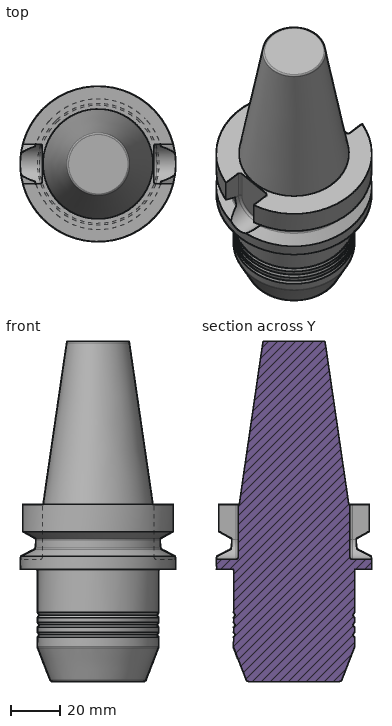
import cadquery as cq
import math

total_height = 137.9

shank_base_radius = 22.27
taper_per_side = 7 / 48
shank_tip_round = 0.7

flange_radius = 63.0 / 2
flange_bottom_z = 45.5
flange_top_z = 71.8
lower_rim_z = 50.9
upper_rim_z = 60.8
groove_floor_radius = 26.5
groove_flank_angle = 30
groove_corner_round = 0.7
flange_root_round = 0.4

body_radius = 49.2 / 2
nose_shoulder_z = 14.0
nose_radius = 19.2
shoulder_round = 1.4
nose_round = 1.4

ring_top_z = 27.0
ring_pitch = 4.0
ring_count = 3
ring_width = 2.0
ring_depth = 0.7

slot_width = 16.1
slot_floor_x = 22.6
slot_bottom_z = 49.6
slot_floor_round = 1.0
cut_overrun = 1.4


def round_circles(solid, radius, z, round_radius):
    """Fillet the circular edge of the given radius at height z."""
    def matches(edge):
        is_circle = edge.geomType() == "CIRCLE"
        return is_circle and math.isclose(edge.radius(), radius) and math.isclose(edge.Center().z, z)

    return solid.edges().filter(matches).fillet(round_radius)


def make_body():
    """Straight body, rounded where it runs into the conical nose."""
    profile = (
        cq.Workplane("XZ")
        .lineTo(nose_radius, 0)
        .lineTo(body_radius, nose_shoulder_z)
        .lineTo(body_radius, flange_bottom_z)
        .lineTo(0, flange_bottom_z)
        .close()
    )
    body = profile.revolve(360, (0, 0, 0), (0, 1, 0))
    body = body.faces("<Z").edges().fillet(nose_round)
    return round_circles(body, body_radius, nose_shoulder_z, shoulder_round)


def make_flange():
    """Flange disc with the gripper groove turned into its rim."""
    flank_height = (flange_radius - groove_floor_radius) * math.tan(math.radians(groove_flank_angle))
    floor_bottom_z = lower_rim_z + flank_height
    floor_top_z = upper_rim_z - flank_height
    profile = (
        cq.Workplane("XZ")
        .moveTo(0, flange_bottom_z)
        .lineTo(flange_radius, flange_bottom_z)
        .lineTo(flange_radius, lower_rim_z)
        .lineTo(groove_floor_radius, floor_bottom_z)
        .lineTo(groove_floor_radius, floor_top_z)
        .lineTo(flange_radius, upper_rim_z)
        .lineTo(flange_radius, flange_top_z)
        .lineTo(0, flange_top_z)
        .close()
    )
    flange = profile.revolve(360, (0, 0, 0), (0, 1, 0))
    for z in (floor_bottom_z, floor_top_z):
        flange = round_circles(flange, groove_floor_radius, z, groove_corner_round)
    return flange


def make_shank():
    """Cone narrowing upward, with a small round at the tip."""
    shank_tip_radius = shank_base_radius - (total_height - flange_top_z) * taper_per_side
    profile = (
        cq.Workplane("XZ")
        .moveTo(0, flange_top_z)
        .lineTo(shank_base_radius, flange_top_z)
        .lineTo(shank_tip_radius, total_height)
        .lineTo(0, total_height)
        .close()
    )
    shank = profile.revolve(360, (0, 0, 0), (0, 1, 0))
    return shank.faces(">Z").edges().fillet(shank_tip_round)


def ring_cutter(z):
    """V ring centred at height z."""
    profile = (
        cq.Workplane("XZ")
        .moveTo(body_radius, z - ring_width / 2)
        .lineTo(body_radius - ring_depth, z)
        .lineTo(body_radius, z + ring_width / 2)
        .close()
    )
    return profile.revolve(360, (0, 0, 0), (0, 1, 0))


def slot_cutter():
    """Round-bottomed slot on the +X side, open outward and upward."""
    half_width = slot_width / 2
    arc_center_z = slot_bottom_z + half_width
    cutter = (
        cq.Workplane("YZ", origin=(slot_floor_x, 0, 0))
        .moveTo(-half_width, flange_top_z)
        .lineTo(-half_width, arc_center_z)
        .threePointArc((0, slot_bottom_z), (half_width, arc_center_z))
        .lineTo(half_width, flange_top_z)
        .close()
        .extrude(flange_radius - slot_floor_x + cut_overrun)
    )
    return cutter.faces("<X").edges("not >Z").fillet(slot_floor_round)


result = make_body().union(make_flange()).union(make_shank())
result = round_circles(result, body_radius, flange_bottom_z, flange_root_round)

for index in range(ring_count):
    result = result.cut(ring_cutter(ring_top_z - index * ring_pitch))

for angle in (0, 180):
    result = result.cut(slot_cutter().rotate((0, 0, 0), (0, 0, 1), angle))